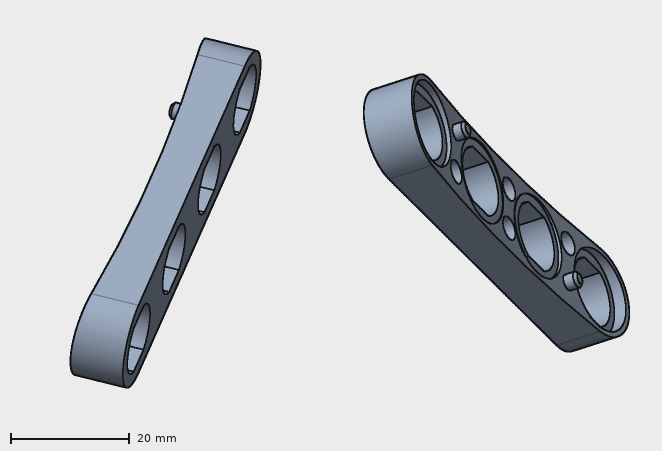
import cadquery as cq

length = 74.0
height = 17.0
end_thickness = 9.3
middle_thickness = 7.1
pin_reach = 10.0

opening_count = 4
opening_pitch = (length - height) / (opening_count - 1)
opening_diameter = 12.2
opening_flat_height = 11.0
seat_diameter = 15.1
seat_floor_thickness = 6.95

socket_diameter = 4.2
socket_depth = 4.45
pin_diameter = 2.9
pin_chamfer = 0.5
fitting_offset_z = 4.0

opening_positions = [
    (i - (opening_count - 1) / 2) * opening_pitch for i in range(opening_count)
]


def along_x(start_x):
    """Sketch plane facing +X, with local axes Y and Z."""
    return cq.Workplane("YZ", origin=(start_x, 0, 0))


def make_bar():
    """Round-ended bar whose -X face is a shallow concave arc."""
    outline = along_x(-end_thickness).slot2D(length, height).extrude(end_thickness)
    side_profile = (
        cq.Workplane("XY", origin=(0, 0, -height / 2))
        .moveTo(0, -length / 2)
        .lineTo(-end_thickness, -length / 2)
        .threePointArc((-middle_thickness, 0), (-end_thickness, length / 2))
        .lineTo(0, length / 2)
        .close()
        .extrude(height)
    )
    return outline.intersect(side_profile)


def make_opening(y):
    """Through hole with flats above and below, and a round seat on the -X side."""
    bore = along_x(-end_thickness).center(y, 0).circle(opening_diameter / 2).extrude(end_thickness)
    flats = (
        along_x(-end_thickness)
        .center(y, 0)
        .rect(opening_diameter, opening_flat_height)
        .extrude(end_thickness)
    )
    seat = (
        along_x(-end_thickness)
        .center(y, 0)
        .circle(seat_diameter / 2)
        .extrude(end_thickness - seat_floor_thickness)
    )
    return bore.intersect(flats).union(seat)


def make_socket(y, z):
    """Blind round hole opening on the concave face."""
    floor_x = socket_depth - middle_thickness
    return (
        along_x(-end_thickness)
        .center(y, z)
        .circle(socket_diameter / 2)
        .extrude(end_thickness + floor_x)
    )


def make_pin(y, z):
    """Locating pin rooted in the bar, with a chamfered tip."""
    pin = along_x(-pin_reach).center(y, z).circle(pin_diameter / 2).extrude(pin_reach / 2)
    return pin.faces("<X").chamfer(pin_chamfer)


result = make_bar()

for opening_y in opening_positions:
    result = result.cut(make_opening(opening_y))

for side in (-1, 1):
    z = side * fitting_offset_z
    result = result.cut(make_socket(0, z))
    result = result.cut(make_socket(-side * opening_pitch, z))
    result = result.union(make_pin(side * opening_pitch, z))